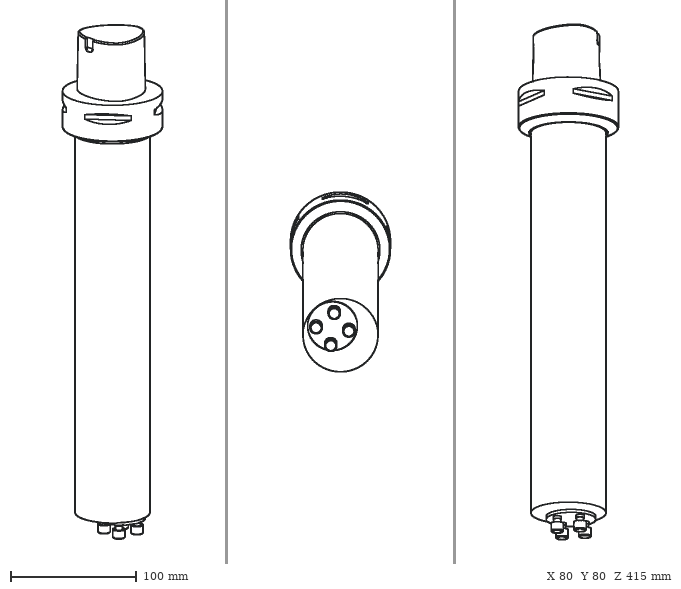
import cadquery as cq
import math

total_height = 415.0
shank_length = 48.0
flange_height = 30.0
neck_height = 5.0
body_bottom = 15.0
flange_top = total_height - shank_length
flange_bottom = flange_top - flange_height
neck_bottom = flange_bottom - neck_height

flange_radius = 80.0 / 2
body_radius = 60.0 / 2
flange_chamfer = 1.0
neck_radius = 31.5
neck_fillet = neck_height - flange_chamfer

shank_base_radius = 27.5
shank_tip_radius = 26.5
lobe_height = 2.0
lobe_count = 3
outline_points = 36
shank_tip_chamfer = 1.2

keyway_width = 9.0
keyway_floor_width = 5.0
keyway_straight_height = 8.5
keyway_end_height = 2.5
keyway_depth = 2.0

groove_count = 4
groove_depth = 4.5
groove_floor_width = 3.7
groove_mouth_width = 8.7
groove_drop = 11.5
groove_height = flange_top - groove_drop

seat_radius = 40.0 / 2
seat_height = 2.5
seat_offset = body_radius - seat_radius
screw_pitch = 18.5
screw_collar_radius = 3.5
screw_collar_height = 2.0
screw_neck_radius = 6.0 / 2
screw_head_radius = 10.0 / 2
screw_head_height = 7.0
screw_chamfer = 1.0


def make_body():
    """Bar, concave neck and flange turned about the Z axis."""
    chamfer_bottom = flange_bottom - flange_chamfer
    fillet_middle = neck_fillet * (1 - math.sqrt(0.5))
    return (
        cq.Workplane("XZ")
        .moveTo(0, body_bottom)
        .lineTo(body_radius, body_bottom)
        .lineTo(body_radius, neck_bottom)
        .lineTo(neck_radius, neck_bottom)
        .threePointArc(
            (neck_radius + fillet_middle, chamfer_bottom - fillet_middle),
            (neck_radius + neck_fillet, chamfer_bottom),
        )
        .lineTo(flange_radius - flange_chamfer, chamfer_bottom)
        .lineTo(flange_radius, flange_bottom)
        .lineTo(flange_radius, flange_top)
        .lineTo(0, flange_top)
        .close()
        .revolve(360, (0, 0, 0), (0, 1, 0))
    )


def lobed_point(mean_radius, angle):
    """Point on a constant-width curve with one lobe towards +Y."""
    phase = lobe_count * angle
    reach = mean_radius + lobe_height * math.cos(phase)
    slope = -lobe_count * lobe_height * math.sin(phase)
    along = reach * math.cos(angle) - slope * math.sin(angle)
    across = reach * math.sin(angle) + slope * math.cos(angle)
    return (-across, along)


def lobed_outline(mean_radius):
    step = 2 * math.pi / outline_points
    return [lobed_point(mean_radius, i * step) for i in range(outline_points)]


def lobed_frustum(bottom, bottom_radius, top, top_radius):
    return (
        cq.Workplane("XY", origin=(0, 0, bottom))
        .spline(lobed_outline(bottom_radius), periodic=True)
        .close()
        .workplane(offset=top - bottom)
        .spline(lobed_outline(top_radius), periodic=True)
        .close()
        .loft(ruled=True)
    )


def make_shank():
    chamfer_start = total_height - shank_tip_chamfer
    taper = lobed_frustum(flange_top, shank_base_radius, chamfer_start, shank_tip_radius)
    tip = lobed_frustum(
        chamfer_start, shank_tip_radius, total_height, shank_tip_radius - shank_tip_chamfer
    )
    return taper.union(tip)


def make_keyway():
    """Cutter with a narrowing lower end and a sloping floor."""
    flank = shank_tip_radius - lobe_height
    floor_y = keyway_depth - flank
    outer_y = -flange_radius
    slope_top = total_height - keyway_straight_height
    slope_bottom = slope_top - keyway_end_height
    outline = (
        cq.Workplane("XZ", origin=(0, floor_y, 0))
        .moveTo(-keyway_width / 2, total_height)
        .lineTo(keyway_width / 2, total_height)
        .lineTo(keyway_width / 2, slope_top)
        .lineTo(keyway_floor_width / 2, slope_bottom)
        .lineTo(-keyway_floor_width / 2, slope_bottom)
        .lineTo(-keyway_width / 2, slope_top)
        .close()
        .extrude(floor_y - outer_y)
    )
    side_profile = (
        cq.Workplane("YZ", origin=(-keyway_width / 2, 0, 0))
        .moveTo(floor_y, total_height)
        .lineTo(floor_y, slope_top)
        .lineTo(-flank, slope_bottom)
        .lineTo(outer_y, slope_bottom)
        .lineTo(outer_y, total_height)
        .close()
        .extrude(keyway_width)
    )
    return outline.intersect(side_profile)


def make_groove(angle):
    """Straight cutter lying across the flange rim at the given angle."""
    floor = flange_radius - groove_depth
    return (
        cq.Workplane("XZ", origin=(0, flange_radius, 0))
        .moveTo(floor, groove_height - groove_floor_width / 2)
        .lineTo(flange_radius, groove_height - groove_mouth_width / 2)
        .lineTo(flange_radius, groove_height + groove_mouth_width / 2)
        .lineTo(floor, groove_height + groove_floor_width / 2)
        .close()
        .extrude(2 * flange_radius)
        .rotate((0, 0, 0), (0, 0, 1), angle)
    )


def make_seat():
    return (
        cq.Workplane("XY", origin=(seat_offset, 0, body_bottom - seat_height))
        .circle(seat_radius)
        .extrude(seat_height)
    )


def make_screw(x, y):
    """Headed screw hanging below the seat."""
    seat_bottom = body_bottom - seat_height
    collar_bottom = seat_bottom - screw_collar_height
    head = (
        cq.Workplane("XY", origin=(x, y, 0))
        .circle(screw_head_radius)
        .extrude(screw_head_height)
        .faces("<Z")
        .chamfer(screw_chamfer)
    )
    neck = cq.Workplane("XY", origin=(x, y, 0)).circle(screw_neck_radius).extrude(body_bottom)
    collar = (
        cq.Workplane("XY", origin=(x, y, collar_bottom))
        .circle(screw_collar_radius)
        .extrude(body_bottom - collar_bottom)
    )
    return head.union(neck).union(collar)


result = make_body().union(make_shank()).cut(make_keyway())
for index in range(groove_count):
    result = result.cut(make_groove((index + 0.5) * 360 / groove_count))

result = result.union(make_seat())
for x_side in (-1, 1):
    for y_side in (-1, 1):
        screw_x = seat_offset + x_side * screw_pitch / 2
        screw_y = y_side * screw_pitch / 2
        result = result.union(make_screw(screw_x, screw_y))